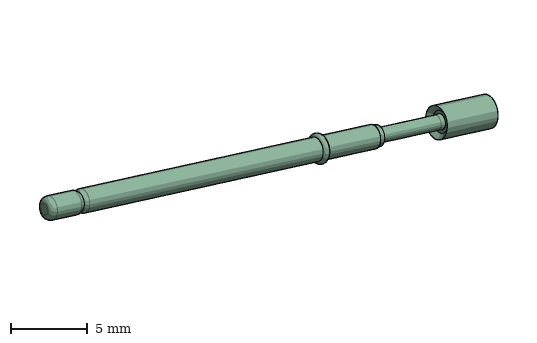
import cadquery as cq
import math

total_length = 36.5

sleeve_radius = 1.65 / 2
sleeve_end = 27.1
tail_round = 0.45

groove_position = 2.77
groove_half_width = 0.33
groove_depth = 0.15

ring_position = 22.6
ring_half_width = 0.25
ring_radius = 2.08 / 2

barrel_radius = 0.73
flare_radius = 0.8
barrel_end = 27.5

plunger_radius = 1.02 / 2
head_radius = 2.3 / 2
head_length = 4.2
head_start = total_length - head_length

recess_depth = 0.33
recess_floor = head_start + recess_depth
recess_floor_radius = 0.75
foot_radius = 0.55


def middle_drop(length, depth):
    """Depth reached halfway along an arc that starts level and sinks by depth over length."""
    arc_radius = (length**2 + depth**2) / (2 * depth)
    return arc_radius - math.sqrt(arc_radius**2 - (length / 2) ** 2)


def add_tail(outline):
    """Flat end face and the quarter round up to the sleeve surface."""
    round_middle = tail_round * (1 - math.sqrt(0.5))
    return outline.lineTo(sleeve_radius - tail_round, 0).threePointArc(
        (sleeve_radius - round_middle, round_middle),
        (sleeve_radius, tail_round),
    )


def add_groove(outline):
    """Two convex arcs, tangent to the sleeve surface, that meet at the valley."""
    half_lip = groove_half_width / 2
    lip_middle = sleeve_radius - middle_drop(groove_half_width, groove_depth)
    return (
        outline.lineTo(sleeve_radius, groove_position - groove_half_width)
        .threePointArc(
            (lip_middle, groove_position - half_lip),
            (sleeve_radius - groove_depth, groove_position),
        )
        .threePointArc(
            (lip_middle, groove_position + half_lip),
            (sleeve_radius, groove_position + groove_half_width),
        )
    )


def add_ring(outline):
    """Round bulge standing out from the sleeve surface."""
    return outline.lineTo(sleeve_radius, ring_position - ring_half_width).threePointArc(
        (ring_radius, ring_position),
        (sleeve_radius, ring_position + ring_half_width),
    )


def add_barrel_end(outline):
    """Step down from the sleeve to the concave barrel flare, then down to the plunger."""
    flare_middle = barrel_radius + middle_drop(barrel_end - sleeve_end, flare_radius - barrel_radius)
    return (
        outline.lineTo(sleeve_radius, sleeve_end)
        .lineTo(flare_radius, sleeve_end)
        .threePointArc(
            (flare_middle, (sleeve_end + barrel_end) / 2),
            (barrel_radius, barrel_end),
        )
        .lineTo(plunger_radius, barrel_end)
    )


def add_head(outline):
    """Plunger rod, recessed underside and plain cylindrical head."""
    return (
        outline.lineTo(plunger_radius, head_start)
        .lineTo(foot_radius, recess_floor)
        .lineTo(recess_floor_radius, recess_floor)
        .lineTo(head_radius, head_start)
        .lineTo(head_radius, total_length)
        .lineTo(0, total_length)
    )


profile = cq.Workplane("XY")
for add_section in (add_tail, add_groove, add_ring, add_barrel_end, add_head):
    profile = add_section(profile)

result = profile.close().revolve(360, (0, 0, 0), (0, 1, 0))